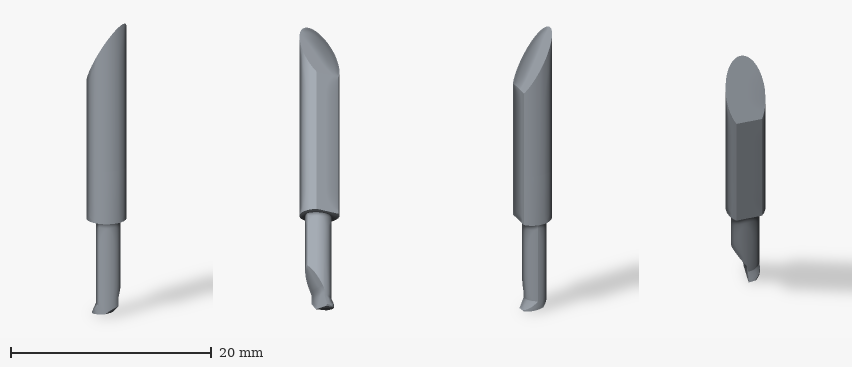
import cadquery as cq
import math


total_length = 30.72
shank_radius = 2.0
flat_offset = 1.5
neck_length = 10.0
split_height = 15.5
end_bevel_angle = 60.0

neck_radius = 1.43
neck_back = 0.937

rake_start = 4.42
rake_angle = 30.0
rake_blend_radius = 1.23

tooth_height = 1.25
tooth_flare = 0.52
nose_x = -1.23
nose_chamfer = 0.2
end_edge_x = 0.68
end_edge_rise = 0.26
end_relief_rise = 0.15

margin = 1.55


def shank_section(bottom, top):
    """Straight piece of the flatted bar."""
    half_flat = math.sqrt(shank_radius**2 - flat_offset**2)
    return (
        cq.Workplane("XY", origin=(0, 0, bottom))
        .moveTo(-flat_offset, -half_flat)
        .threePointArc((shank_radius, 0), (-flat_offset, half_flat))
        .close()
        .extrude(top - bottom)
    )


def make_upper_shank():
    """Upper bar, cut off obliquely so that it peaks on the +X side."""
    bevel_drop = (flat_offset + shank_radius) * math.tan(math.radians(end_bevel_angle))
    side_profile = (
        cq.Workplane("XZ")
        .moveTo(-flat_offset, split_height)
        .lineTo(shank_radius, split_height)
        .lineTo(shank_radius, total_length)
        .lineTo(-flat_offset, total_length - bevel_drop)
        .close()
        .extrude(shank_radius, both=True)
    )
    return shank_section(split_height, total_length).intersect(side_profile)


def make_lower_shank():
    return shank_section(neck_length, split_height)


def neck_bar():
    """Full-length neck before its tip is shaped."""
    return (
        cq.Workplane("XY")
        .moveTo(0, -neck_radius)
        .threePointArc((neck_radius, 0), (0, neck_radius))
        .threePointArc((-neck_back, 0), (0, -neck_radius))
        .close()
        .extrude(neck_length)
    )


def tooth():
    """Round tip bounded above by a cone that flares out from the back of the neck."""
    back_radius = (neck_radius**2 + neck_back**2) / (2 * neck_back)
    cone_center = back_radius - neck_back
    cone = cq.Workplane(
        cq.Solid.makeCone(
            back_radius + tooth_flare, back_radius, tooth_height, pnt=cq.Vector(cone_center, 0, 0)
        )
    )
    return cq.Workplane("XY").circle(neck_radius).extrude(tooth_height).intersect(cone)


def rake_cutter():
    """Removes the +Y half below a sloping run-out with a rounded foot."""
    slope_foot = rake_start - neck_radius / math.tan(math.radians(rake_angle))
    outer_y = neck_radius + margin
    outer_z = rake_start + margin / math.tan(math.radians(rake_angle))
    return (
        cq.Workplane("YZ")
        .moveTo(0, -margin)
        .lineTo(0, slope_foot)
        .lineTo(outer_y, outer_z)
        .lineTo(outer_y, -margin)
        .close()
        .extrude(neck_radius + margin, both=True)
        .edges(cq.selectors.NearestToPointSelector((0, 0, slope_foot)))
        .fillet(rake_blend_radius)
    )


def end_relief_cutter():
    """Shapes the cutting edge and tilts the end face upward behind it."""
    outer_x = neck_radius + margin
    corner_z = end_edge_rise + outer_x - end_edge_x
    outline = [
        (-neck_radius - margin, nose_chamfer),
        (nose_x - nose_chamfer, nose_chamfer),
        (nose_x, 0),
        (end_edge_x, end_edge_rise),
        (outer_x, corner_z),
        (outer_x, -margin),
        (-neck_radius - margin, -margin),
    ]
    wire = cq.Wire.makePolygon([cq.Vector(x, 0, z) for x, z in outline], close=True)
    return cq.Workplane(
        cq.Solid.extrudeLinear(wire, [], cq.Vector(0, -neck_radius, end_relief_rise))
    )


def make_cutter():
    """Neck and cutting tip in one body."""
    return neck_bar().union(tooth()).cut(rake_cutter()).cut(end_relief_cutter())


upper_shank = make_upper_shank()
lower_shank = make_lower_shank()
cutter = make_cutter()

result = cq.Compound.makeCompound([upper_shank.val(), lower_shank.val(), *cutter.solids().vals()])